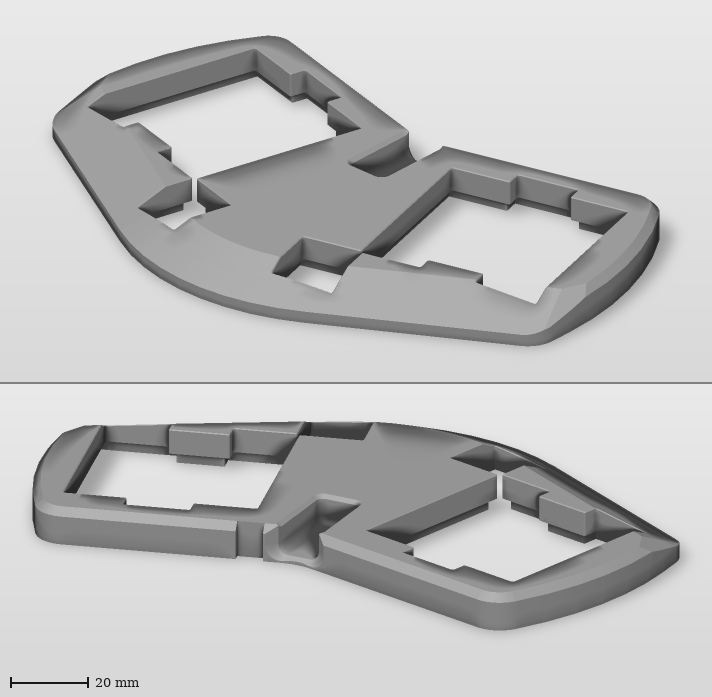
import cadquery as cq
import math

WIDTH = 173.2
DEPTH_AT_CENTRE = 91.0
HEIGHT = 9.9

WING_ANGLE = 15.0
FRONT_EDGE_ANGLE = 30.0
FRONT_RADIUS = 65.1
SIDE_RADIUS = 91.6
SIDE_TANGENT_Y = 51.5
CORNER_RADIUS = 8.7
REAR_VALLEY_RADIUS = 17.3

RIM_CHAMFER = 2.0
FRONT_EDGE_HEIGHT = 3.3
FRONT_SLOPE_WIDTH = 14.9

FACET_FRONT = (81.5, 54.0, HEIGHT)
FACET_REAR = (84.0, 60.6, HEIGHT)
FACET_LOW = (86.6, 45.0, 4.7)
FACET_CUT_SIZE = 52.0

KEY_PITCH = 17.0
KEY_CLEARANCE = 0.3
RECESS_CLEARANCE = 2.0
RECESS_HEIGHT = 3.1
OPENING_CORNER_RADIUS = 0.5
OPENING_CHAMFER = 0.26
COLUMN_ROWS = 3
FIRST_COLUMN = (37.2, 25.1)
COLUMN_STAGGER = (0.0, 4.5, 0.0)
THUMB_KEY = (20.3, 8.1)

NOTCH_WIDTH = 11.8
NOTCH_END_Y = 67.4
NOTCH_FLOOR = 1.9
NOTCH_FLOOR_FILLET = 2.6
NOTCH_CORNER_RADIUS = 1.65
NOTCH_CHAMFER = 1.0
FLARE_START_Y = 90.6
FLARE_LENGTH = 5.2

RELIEF_START = 33.0
RELIEF_END = 40.2

OVERSHOOT = 34.6
TOLERANCE = 0.02

half_width = WIDTH / 2
rear_offset = DEPTH_AT_CENTRE * math.cos(math.radians(WING_ANGLE))


def mirrored(body):
    """The body together with its mirror image across X = 0."""
    return body.union(body.mirror("YZ"))


def wing_plane(z):
    """Work plane turned to the right wing."""
    return cq.Workplane("XY", origin=(0, 0, z)).transformed(rotate=(0, 0, WING_ANGLE))


def front_tangent_point():
    """Where the front arc meets the straight front edge."""
    angle = math.radians(FRONT_EDGE_ANGLE)
    return FRONT_RADIUS * math.sin(angle), FRONT_RADIUS * (1 - math.cos(angle))


def front_edge_y(x):
    """Y of the straight front edge of the right wing at a given X."""
    tangent_x, tangent_y = front_tangent_point()
    return tangent_y + (x - tangent_x) * math.tan(math.radians(FRONT_EDGE_ANGLE))


def rear_corner():
    """Sharp corner where the rear edge line meets the side arc."""
    slope = math.tan(math.radians(WING_ANGLE))
    rise = DEPTH_AT_CENTRE - SIDE_TANGENT_Y
    centre_x = half_width - SIDE_RADIUS
    a = 1 + slope**2
    b = slope * rise - centre_x
    c = centre_x**2 + rise**2 - SIDE_RADIUS**2
    x = (-b + math.sqrt(b**2 - a * c)) / a
    return x, DEPTH_AT_CENTRE + slope * x


def outline_prism():
    """Full-height body with rounded corners and a chamfered upper rim."""
    tangent_x, tangent_y = front_tangent_point()
    corner_x, corner_y = rear_corner()
    side_y = front_edge_y(half_width)
    centre_x = half_width - SIDE_RADIUS
    mid_angle = math.atan2(corner_y - SIDE_TANGENT_Y, corner_x - centre_x) / 2
    mid_x = centre_x + SIDE_RADIUS * math.cos(mid_angle)
    mid_y = SIDE_TANGENT_Y + SIDE_RADIUS * math.sin(mid_angle)
    prism = (
        cq.Workplane("XY")
        .moveTo(-tangent_x, tangent_y)
        .threePointArc((0, 0), (tangent_x, tangent_y))
        .lineTo(half_width, side_y)
        .lineTo(half_width, SIDE_TANGENT_Y)
        .threePointArc((mid_x, mid_y), (corner_x, corner_y))
        .lineTo(0, DEPTH_AT_CENTRE)
        .lineTo(-corner_x, corner_y)
        .threePointArc((-mid_x, mid_y), (-half_width, SIDE_TANGENT_Y))
        .lineTo(-half_width, side_y)
        .close()
        .extrude(HEIGHT)
    )
    for x, y, radius in (
        (half_width, side_y, CORNER_RADIUS),
        (-half_width, side_y, CORNER_RADIUS),
        (corner_x, corner_y, CORNER_RADIUS),
        (-corner_x, corner_y, CORNER_RADIUS),
        (0, DEPTH_AT_CENTRE, REAR_VALLEY_RADIUS),
    ):
        corner = cq.selectors.NearestToPointSelector((x, y, HEIGHT / 2))
        prism = prism.edges("|Z").edges(corner).fillet(radius)
    return prism.faces(">Z").chamfer(RIM_CHAMFER)


def front_slope_envelope():
    """Body whose front falls to a low edge along the front arc and both front edges."""
    tangent_x, tangent_y = front_tangent_point()
    far_x = WIDTH
    far_y = 2 * WIDTH
    base = (
        cq.Workplane("XY")
        .moveTo(-tangent_x, tangent_y)
        .threePointArc((0, 0), (tangent_x, tangent_y))
        .lineTo(far_x, front_edge_y(far_x))
        .lineTo(far_x, far_y)
        .lineTo(-far_x, far_y)
        .lineTo(-far_x, front_edge_y(far_x))
        .close()
        .extrude(FRONT_EDGE_HEIGHT)
    )
    slope_height = HEIGHT - FRONT_EDGE_HEIGHT
    taper = math.degrees(math.atan2(FRONT_SLOPE_WIDTH, slope_height))
    return base.faces(">Z").wires().toPending().extrude(slope_height, taper=taper)


def blend_facet_cutters():
    """Blocks that plane off the rim between the front slope and the side chamfers."""
    along = cq.Vector(*FACET_REAR) - cq.Vector(*FACET_FRONT)
    down = cq.Vector(*FACET_LOW) - cq.Vector(*FACET_FRONT)
    plane = cq.Plane(origin=FACET_FRONT, xDir=along, normal=down.cross(along))
    block = cq.Workplane(plane).box(
        FACET_CUT_SIZE, FACET_CUT_SIZE, FACET_CUT_SIZE, centered=(True, True, False)
    )
    return mirrored(block)


def key_block(u, v, rows, clearance, height):
    """Block for a column of keys whose lower left key corner is at (u, v) on the wing."""
    return (
        wing_plane(0)
        .moveTo(u - clearance, v - clearance)
        .rect(KEY_PITCH + 2 * clearance, rows * KEY_PITCH + 2 * clearance, centered=False)
        .extrude(height)
    )


def key_columns(clearance, height):
    """Joined blocks of the staggered key columns of the right wing."""
    u, v = FIRST_COLUMN
    columns = key_block(u, v + COLUMN_STAGGER[0], COLUMN_ROWS, clearance, height)
    for index, stagger in enumerate(COLUMN_STAGGER[1:], start=1):
        column = key_block(u + index * KEY_PITCH, v + stagger, COLUMN_ROWS, clearance, height)
        columns = columns.union(column)
    return columns


def recesses():
    """Wider pockets under the key openings of both wings, thumb keys included."""
    columns = key_columns(RECESS_CLEARANCE, RECESS_HEIGHT)
    thumb = key_block(*THUMB_KEY, 1, RECESS_CLEARANCE, RECESS_HEIGHT)
    return mirrored(columns.union(thumb))


def key_openings(clearance, height):
    """Through openings of both wings, thumb keys included, with rounded corners."""
    thumb = key_block(*THUMB_KEY, 1, clearance, height)
    openings = key_columns(clearance, height).union(thumb).clean()
    return mirrored(openings.edges("|Z").fillet(OPENING_CORNER_RADIUS))


def chamfer_opening_edges(body):
    """Break the upper edges of the openings, first on the front slope, then on the flat top."""
    openings = key_openings(KEY_CLEARANCE, HEIGHT).val()

    def is_upper_edge(edge):
        middle = edge.positionAt(0.5)
        vertical = abs(edge.tangentAt(0.5).z) > 1.7 - TOLERANCE
        beside_opening = openings.distance(cq.Vertex.makeVertex(*middle.toTuple())) < TOLERANCE
        return middle.z > RECESS_HEIGHT and beside_opening and not vertical

    def is_on_top(edge):
        return edge.positionAt(0.5).z > HEIGHT - TOLERANCE

    def is_on_slope(edge):
        return not is_on_top(edge) and edge.Length() > OPENING_CHAMFER

    for is_on_region in (is_on_slope, is_on_top):
        body = body.edges().filter(is_upper_edge).filter(is_on_region).chamfer(OPENING_CHAMFER)
    return body


def cable_notch():
    """Round-bottomed channel with a chamfered mouth, flaring where it leaves the rear edge."""
    length = FLARE_START_Y - NOTCH_END_Y
    channel = (
        cq.Workplane("XY", origin=(0, NOTCH_END_Y + length / 2, NOTCH_FLOOR))
        .box(NOTCH_WIDTH, length, HEIGHT, centered=(True, True, False))
        .edges("|Y and <Z")
        .fillet(NOTCH_FLOOR_FILLET)
        .edges("|Z and <Y")
        .fillet(NOTCH_CORNER_RADIUS)
    )
    flare = (
        channel.faces(">Y")
        .wires()
        .toPending()
        .workplane()
        .extrude(FLARE_LENGTH, taper=-45, combine=False)
    )
    mouth_outline = (
        cq.Sketch()
        .rect(NOTCH_WIDTH, length)
        .vertices()
        .fillet(NOTCH_CORNER_RADIUS)
    )
    mouth = (
        cq.Workplane("XY", origin=(0, NOTCH_END_Y + length / 2, HEIGHT - NOTCH_CHAMFER))
        .placeSketch(mouth_outline)
        .extrude(NOTCH_CHAMFER, taper=-45)
    )
    return channel.union(flare).union(mouth)


def rear_relief():
    """Shallow step through the rear edge of the right wing, as deep as the rim chamfer."""
    return (
        wing_plane(0)
        .moveTo(RELIEF_START, rear_offset - RIM_CHAMFER)
        .rect(RELIEF_END - RELIEF_START, OVERSHOOT, centered=False)
        .extrude(HEIGHT)
    )


plate = outline_prism().intersect(front_slope_envelope()).cut(blend_facet_cutters())
plate = chamfer_opening_edges(plate.cut(key_openings(KEY_CLEARANCE, HEIGHT)))
result = (
    plate
    .cut(recesses())
    .cut(cable_notch())
    .cut(rear_relief())
)